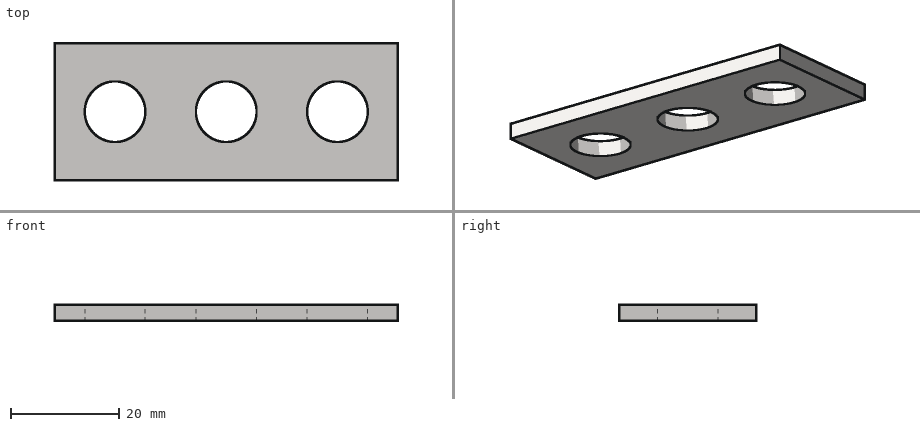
import cadquery as cq

LENGTH = 63.5
WIDTH = 25.4
THICKNESS = 3.0

HOLE_COUNT = 3
HOLE_DIAMETER = 11.18
HOLE_SPACING = 20.57


def make_plate():
    """Flat rectangular plate centred on X and Y, resting on Z = 0."""
    return cq.Workplane("XY").box(LENGTH, WIDTH, THICKNESS, centered=(True, True, False))


def drill_hole_row(plate):
    """Drill the evenly spaced holes through the full thickness."""
    return (
        plate.faces(">Z")
        .workplane(origin=(0, 0, THICKNESS))
        .rarray(HOLE_SPACING, WIDTH, HOLE_COUNT, 1)
        .hole(HOLE_DIAMETER)
    )


result = drill_hole_row(make_plate())